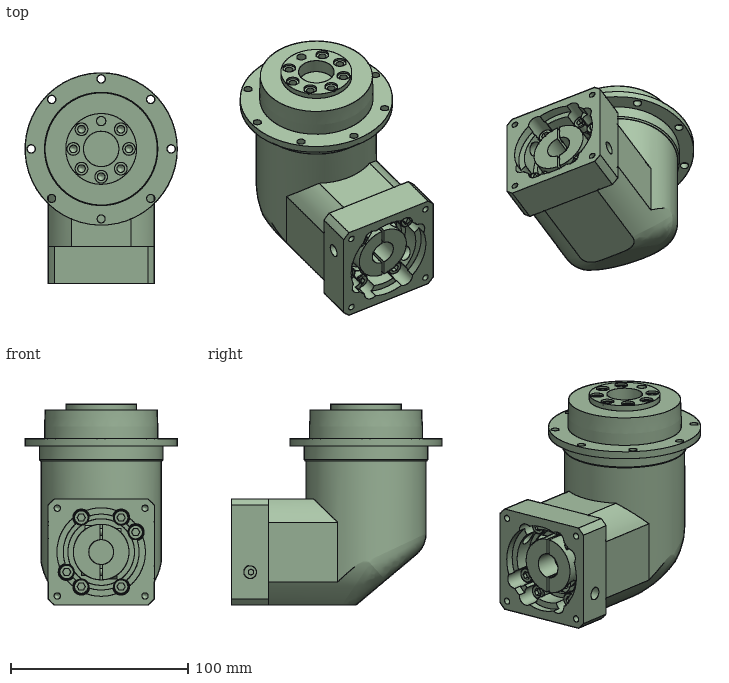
import cadquery as cq
import math


DISC_TOP = 83.5
DISC_R = 20.0
BOSS_TOP = 80.3
BOSS_TOP_R = 31.7
BOSS_R = 32.0
TAPER_END = 70.8
FLANGE_TOP = 64.0
FLANGE_BOTTOM = 59.9
FLANGE_DIAMETER = 86.0
FLANGE_R = FLANGE_DIAMETER / 2
NECK_BOTTOM = 51.3
NECK_R = 35.0
NECK_CHAMFER = 0.8

DRILL_POINT_ANGLE = 118.0

DISC_BORE_R = 10.0
DISC_BORE_DEPTH = 8.0
DISC_HOLE_CIRCLE_R = 15.7
DISC_HOLE_R = 2.1
DISC_HOLE_DEPTH = 10.0
DISC_CBORE_R = 3.6
DISC_CBORE_DEPTH = 1.2
DOWEL_HOLE_R = 2.6

FLANGE_HOLE_CIRCLE_R = 39.5
FLANGE_HOLE_R = 2.3
RING_HOLE_COUNT = 8
DOWEL_ANGLE = 90.0

COLUMN_DIAMETER = 68.0
COLUMN_R = COLUMN_DIAMETER / 2
ARM_R = 34.4
ARM_SIDE = 60.0
ARM_HALF = ARM_SIDE / 2
SLANT_FOOT_Y = -5.7
SLANT_ANGLE = 40.0
SLANT_FILLET = 15.0

OVERALL_LENGTH = 119.0
FRONT_Y = FLANGE_R - OVERALL_LENGTH
ADAPTER_THICKNESS = 20.8
ADAPTER_BACK_Y = FRONT_Y + ADAPTER_THICKNESS
ADAPTER_CORNER_R = 40.0
PILOT_R = 25.0
PILOT_DEPTH = 5.0
POCKET_R = 21.4
POCKET_DEPTH = 16.0
OPENING_R = 18.8
MOTOR_HOLE_OFFSET = 24.8
MOTOR_HOLE_R = 1.8
MOTOR_HOLE_DEPTH = 10.0

SCREW_CIRCLE_R = 22.5
SCREW_ANGLES = (30, 60, 120, 210, 240, 300)
SCREW_CBORE_R = 4.8
SCREW_HEAD_R = 4.3
SCREW_HEAD_HEIGHT = 5.0
SCREW_HEAD_CHAMFER = 0.5
SCREW_HEX_FLATS = 4.0
SCREW_HEX_DEPTH = 2.5

HUB_R = 15.7
HUB_RECESS = 6.0
HUB_BORE_R = 7.0
HUB_SLOT_WIDTH = 1.4
HUB_SLOT_DEPTH = 10.7

CLAMP_Z = 11.3
CLAMP_Y = FRONT_Y + 11.1
CLAMP_HEAD_R = 3.8
CLAMP_HEAD_X = -9.0
CLAMP_HEAD_HEIGHT = 4.0
CLAMP_SHANK_R = 2.0
CLAMP_SHANK_END_X = 11.1
CLAMP_SEAT_R = 4.0
CLAMP_HEX_FLATS = 3.0
CLAMP_HEX_DEPTH = 2.0
ACCESS_HOLE_R = 3.6
ACCESS_HOLE_Y = FRONT_Y + 10.6


def drilled_hole(mouth, direction, radius, depth):
    """Blind round hole with a drill-point cone below its full-width depth."""
    mouth = cq.Vector(*mouth)
    direction = cq.Vector(*direction)
    tip_length = radius / math.tan(math.radians(DRILL_POINT_ANGLE / 2))
    barrel = cq.Solid.makeCylinder(radius, depth, mouth, direction)
    tip = cq.Solid.makeCone(radius, 0, tip_length, mouth + direction * depth, direction)
    return barrel.fuse(tip)


def along_y(depth):
    """Sketch plane facing -Y, the given depth behind the adapter's front face; local y is Z."""
    return cq.Workplane("XZ", origin=(0, FRONT_Y + depth, 0))


def hex_diameter(across_flats):
    """Corner-to-corner diameter of a hexagon with the given size across flats."""
    return across_flats / math.cos(math.pi / 6)


def round_ended_slab(side):
    """Slab along Y with the arm's half-round on its top (side 1) or bottom (side -1)."""
    return (
        cq.Workplane("XZ", origin=(0, FLANGE_R, 0))
        .moveTo(-ARM_R, 0)
        .threePointArc((0, side * ARM_R), (ARM_R, 0))
        .lineTo(ARM_R, -side * NECK_BOTTOM)
        .lineTo(-ARM_R, -side * NECK_BOTTOM)
        .close()
        .extrude(FLANGE_R - ADAPTER_BACK_Y)
    )


def make_elbow():
    """Vertical column mitred into a horizontal arm, with a slanted, rounded outer corner."""
    column_height = NECK_BOTTOM + ARM_R
    column = cq.Workplane("XY", origin=(0, 0, -ARM_R)).circle(COLUMN_R).extrude(column_height)
    arm_length = -ADAPTER_BACK_Y
    arm = (
        cq.Workplane("XZ")
        .center(0, -ARM_HALF)
        .rect(ARM_SIDE, 2 * ARM_SIDE)
        .extrude(arm_length)
        .intersect(round_ended_slab(1))
    )
    elbow = column.union(arm).intersect(round_ended_slab(-1))

    cutter_size = 4 * ARM_R
    cutter = (
        cq.Workplane("XY")
        .box(cutter_size, cutter_size, cutter_size, centered=(True, True, False))
        .translate((0, 0, -cutter_size))
        .rotate((0, 0, 0), (1, 0, 0), SLANT_ANGLE)
        .translate((0, SLANT_FOOT_Y, -ARM_HALF))
    )
    slant = math.radians(SLANT_ANGLE)
    slant_normal = cq.Vector(0, math.sin(slant), -math.cos(slant))
    elbow = elbow.cut(cutter)
    slanted_face = cq.selectors.DirectionMinMaxSelector(slant_normal)
    elbow = elbow.faces(slanted_face).edges().fillet(SLANT_FILLET)

    below_floor = (
        cq.Workplane("XY", origin=(0, 0, -ARM_HALF))
        .rect(cutter_size, 2 * arm_length)
        .extrude(-ARM_R)
    )
    return elbow.cut(below_floor)


def make_output_stage():
    """Stepped, revolved upper part with the mounting flange and the drilled output disc."""
    stage = (
        cq.Workplane("XZ")
        .moveTo(0, NECK_BOTTOM)
        .lineTo(NECK_R - NECK_CHAMFER, NECK_BOTTOM)
        .lineTo(NECK_R, NECK_BOTTOM + NECK_CHAMFER)
        .lineTo(NECK_R, FLANGE_BOTTOM)
        .lineTo(FLANGE_R, FLANGE_BOTTOM)
        .lineTo(FLANGE_R, FLANGE_TOP)
        .lineTo(BOSS_R, FLANGE_TOP)
        .lineTo(BOSS_R, TAPER_END)
        .lineTo(BOSS_TOP_R, BOSS_TOP)
        .lineTo(DISC_R, BOSS_TOP)
        .lineTo(DISC_R, DISC_TOP)
        .lineTo(0, DISC_TOP)
        .close()
        .revolve(360, (0, 0), (0, 1))
    )
    top = cq.Workplane("XY", origin=(0, 0, DISC_TOP))
    stage = stage.cut(top.circle(DISC_BORE_R).extrude(-DISC_BORE_DEPTH))

    for index in range(1, RING_HOLE_COUNT):
        turn = math.radians(DOWEL_ANGLE + index * 360 / RING_HOLE_COUNT)
        x = DISC_HOLE_CIRCLE_R * math.cos(turn)
        y = DISC_HOLE_CIRCLE_R * math.sin(turn)
        counterbore = top.center(x, y).circle(DISC_CBORE_R).extrude(-DISC_CBORE_DEPTH)
        tapped = drilled_hole((x, y, DISC_TOP), (0, 0, -1), DISC_HOLE_R, DISC_HOLE_DEPTH)
        stage = stage.cut(counterbore).cut(cq.Workplane(tapped))
    dowel = top.center(0, DISC_HOLE_CIRCLE_R).circle(DOWEL_HOLE_R).extrude(-DISC_HOLE_DEPTH)

    flange_holes = (
        cq.Workplane("XY", origin=(0, 0, FLANGE_BOTTOM))
        .polarArray(FLANGE_HOLE_CIRCLE_R, 0, 360, RING_HOLE_COUNT)
        .circle(FLANGE_HOLE_R)
        .extrude(FLANGE_TOP - FLANGE_BOTTOM)
    )
    return stage.cut(dowel).cut(flange_holes)


def make_housing():
    """Elbow and output stage, one solid."""
    return make_elbow().union(make_output_stage())


def screw_places():
    """Local (x, z) places of the adapter screws on their circle."""
    places = []
    for angle in SCREW_ANGLES:
        turn = math.radians(angle)
        places.append((SCREW_CIRCLE_R * math.cos(turn), SCREW_CIRCLE_R * math.sin(turn)))
    return places


def make_screw_heads():
    """Socket heads standing on the pocket floor."""
    heads = (
        along_y(POCKET_DEPTH)
        .pushPoints(screw_places())
        .circle(SCREW_HEAD_R)
        .extrude(SCREW_HEAD_HEIGHT)
        .faces("<Y")
        .edges()
        .chamfer(SCREW_HEAD_CHAMFER)
    )
    sockets = (
        along_y(POCKET_DEPTH - SCREW_HEAD_HEIGHT)
        .pushPoints(screw_places())
        .polygon(6, hex_diameter(SCREW_HEX_FLATS))
        .extrude(-SCREW_HEX_DEPTH)
    )
    return heads.cut(sockets)


def make_adapter():
    """Square plate with turned corners, stepped pocket, screw heads and two access holes."""
    front = along_y(0)
    plate = front.rect(ARM_SIDE, ARM_SIDE).extrude(-ADAPTER_THICKNESS)
    plate = plate.intersect(front.circle(ADAPTER_CORNER_R).extrude(-ADAPTER_THICKNESS))
    plate = plate.cut(front.circle(PILOT_R).extrude(-PILOT_DEPTH))
    plate = plate.cut(front.circle(POCKET_R).extrude(-POCKET_DEPTH))
    plate = plate.cut(front.circle(OPENING_R).extrude(-ADAPTER_THICKNESS))
    plate = plate.cut(front.pushPoints(screw_places()).circle(SCREW_CBORE_R).extrude(-POCKET_DEPTH))
    for x in (-MOTOR_HOLE_OFFSET, MOTOR_HOLE_OFFSET):
        for z in (-MOTOR_HOLE_OFFSET, MOTOR_HOLE_OFFSET):
            hole = drilled_hole((x, FRONT_Y, z), (0, 1, 0), MOTOR_HOLE_R, MOTOR_HOLE_DEPTH)
            plate = plate.cut(cq.Workplane(hole))
    for side in (-1, 1):
        access = cq.Workplane("YZ").center(ACCESS_HOLE_Y, -side * CLAMP_Z).circle(ACCESS_HOLE_R)
        plate = plate.cut(access.extrude(side * ARM_HALF))
    return plate.union(make_screw_heads())


def clamp_axis(x):
    """Sketch plane across the upper clamp screw at the given x."""
    return cq.Workplane("YZ", origin=(x, CLAMP_Y, CLAMP_Z))


def make_hub():
    """Split clamp hub with two opposed clamp screws, half a turn apart about the input axis."""
    front = along_y(HUB_RECESS)
    length = ADAPTER_THICKNESS - HUB_RECESS
    hub = front.circle(HUB_R).circle(HUB_BORE_R).extrude(-length)
    hub = hub.cut(front.rect(HUB_SLOT_WIDTH, 2 * HUB_R).extrude(-HUB_SLOT_DEPTH))

    seat = clamp_axis(CLAMP_HEAD_X).circle(CLAMP_SEAT_R).extrude(-HUB_R)
    head = clamp_axis(CLAMP_HEAD_X).circle(CLAMP_HEAD_R).extrude(CLAMP_HEAD_HEIGHT)
    shank = clamp_axis(CLAMP_HEAD_X).circle(CLAMP_SHANK_R).extrude(CLAMP_SHANK_END_X - CLAMP_HEAD_X)
    half_hex_pitch = 30
    socket = (
        clamp_axis(CLAMP_HEAD_X)
        .transformed(rotate=(0, 0, half_hex_pitch))
        .polygon(6, hex_diameter(CLAMP_HEX_FLATS))
        .extrude(CLAMP_HEX_DEPTH)
    )
    screw = head.union(shank)
    for turn in (0, 180):
        axis = ((0, 0, 0), (0, 1, 0), turn)
        hub = hub.cut(seat.rotate(*axis)).union(screw.rotate(*axis)).cut(socket.rotate(*axis))
    return hub


housing = make_housing()
adapter = make_adapter()
hub = make_hub()
result = cq.Compound.makeCompound([housing.val(), adapter.val(), hub.val()])